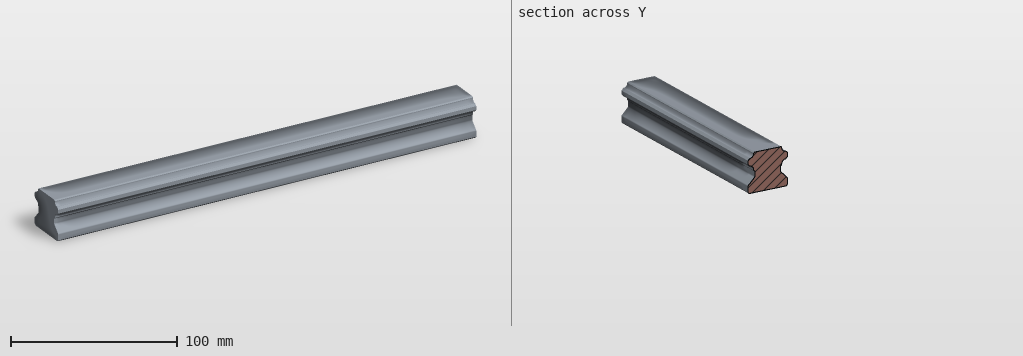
import cadquery as cq
import math

RAIL_WIDTH = 28.0
RAIL_LENGTH = 290.0
RAIL_HEIGHT = 26.0

HEAD_TOP_WIDTH = 20.0
TOP_CHAMFER = 0.7
SHOULDER_TOP_Z = 21.2
SHOULDER_BOTTOM_Z = 18.7
SHOULDER_BEVEL = 1.4

GROOVE_RADIUS = 2.5
UPPER_GROOVE_START_Z = 24.9
LOWER_GROOVE_END_Z = 14.9

WAIST_WIDTH = 18.4
WAIST_TOP_Z = 13.5
WAIST_FILLET = 1.0

FOOT_SLOPE_END_Z = 5.2
FOOT_FILLET = 1.0
BOTTOM_CHAMFER = 1.0

SIDE_X = RAIL_WIDTH / 2
HEAD_X = HEAD_TOP_WIDTH / 2
WAIST_X = WAIST_WIDTH / 2
FOOT_SLOPE_START_Z = FOOT_SLOPE_END_Z + SIDE_X - WAIST_X


def groove_point(start, end):
    """Middle point of the concave ball groove running from start to end on the +X side."""
    mid_x = (start[0] + end[0]) / 2
    mid_z = (start[1] + end[1]) / 2
    run_x = end[0] - start[0]
    run_z = end[1] - start[1]
    chord = math.hypot(run_x, run_z)
    sagitta = GROOVE_RADIUS - math.sqrt(GROOVE_RADIUS**2 - (chord / 2) ** 2)
    return (mid_x + sagitta * run_z / chord, mid_z - sagitta * run_x / chord)


def half_profile():
    """Closed outline of the +X half of the cross-section, drawn with sharp foot corners."""
    bevel_x = SIDE_X - SHOULDER_BEVEL

    upper_start = (HEAD_X, UPPER_GROOVE_START_Z)
    upper_end = (bevel_x, SHOULDER_TOP_Z + SHOULDER_BEVEL)
    lower_start = (bevel_x, SHOULDER_BOTTOM_Z - SHOULDER_BEVEL)
    lower_end = (HEAD_X, LOWER_GROOVE_END_Z)

    return (
        cq.Workplane("XZ")
        .moveTo(0, RAIL_HEIGHT)
        .lineTo(HEAD_X - TOP_CHAMFER, RAIL_HEIGHT)
        .lineTo(HEAD_X, RAIL_HEIGHT - TOP_CHAMFER)
        .lineTo(*upper_start)
        .threePointArc(groove_point(upper_start, upper_end), upper_end)
        .lineTo(SIDE_X, SHOULDER_TOP_Z)
        .lineTo(SIDE_X, SHOULDER_BOTTOM_Z)
        .lineTo(*lower_start)
        .threePointArc(groove_point(lower_start, lower_end), lower_end)
        .lineTo(HEAD_X, WAIST_TOP_Z + HEAD_X - WAIST_X)
        .lineTo(WAIST_X, WAIST_TOP_Z)
        .lineTo(WAIST_X, FOOT_SLOPE_START_Z)
        .lineTo(SIDE_X, FOOT_SLOPE_END_Z)
        .lineTo(SIDE_X, BOTTOM_CHAMFER)
        .lineTo(SIDE_X - BOTTOM_CHAMFER, 0)
        .lineTo(0, 0)
        .close()
    )


def round_long_edge(body, x, z, radius):
    """Fillet the lengthwise edge that passes through the profile point (x, z)."""
    edge = cq.selectors.NearestToPointSelector((x, 0, z))
    return body.edges(edge).fillet(radius)


half_rail = half_profile().extrude(RAIL_LENGTH / 2, both=True)
half_rail = round_long_edge(half_rail, SIDE_X, FOOT_SLOPE_END_Z, FOOT_FILLET)
half_rail = round_long_edge(half_rail, WAIST_X, FOOT_SLOPE_START_Z, WAIST_FILLET)
result = half_rail.union(half_rail.mirror("YZ")).clean()